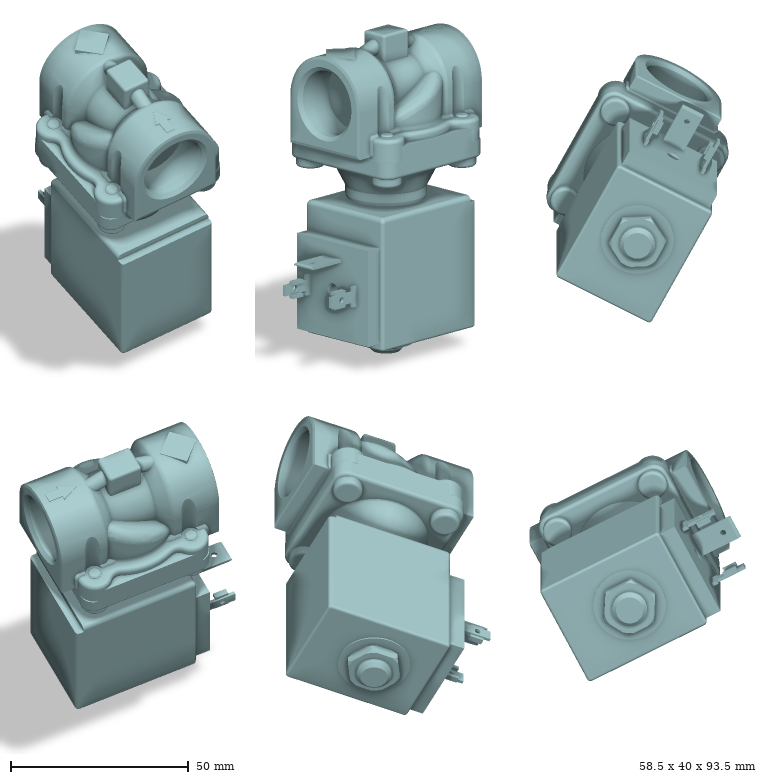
import cadquery as cq
import math


COIL_BOTTOM = 5.6
COIL_TOP = 44.3
COIL_X_MIN = -16.9
COIL_X_MAX = 20.8
COIL_WIDTH = 30.3
COIL_SIDE_FILLET = 1.0
COIL_TOP_FILLET = 1.4
COIL_BOTTOM_FILLET = 0.75
NOTCH_LENGTH = 2.2
NOTCH_DEPTH = 2.0
WASHER_RADIUS = 10.2
WASHER_THICKNESS = 0.4

BLOCK_LENGTH = 4.6
BLOCK_WIDTH = 28.0
BLOCK_BOTTOM = 7.8
BLOCK_HEIGHT = 28.0
CONNECTOR_Z = BLOCK_BOTTOM + BLOCK_HEIGHT / 2
TERMINAL_THICKNESS = 0.9
TERMINAL_HOLE_RADIUS = 0.8
EARTH_TIP_X = -33.6
EARTH_WIDTH = 6.7
EARTH_Z = 30.9
EARTH_HOLE_X = -29.6
EARTH_TIP_LENGTH = 0.9
EARTH_TIP_THICKNESS = 0.4
CONTACT_TIP_X = -31.7
CONTACT_OUTER_Y = 9.5
CONTACT_WIDTH = 3.1
CONTACT_HOLE_X = -27.7
CONTACT_ROOT_LENGTH = 1.7
CONTACT_ROOT_WIDTH = 6.0
LIP_LENGTH = 4.0
LIP_SPAN = 5.0
LIP_THICKNESS = 0.9
LIP_DEPTH = 2.15
LIP_SETBACK = 0.5
SCREW_HOLE_RADIUS = 1.4
SCREW_HOLE_MOUTH_RADIUS = 2.0
SCREW_HOLE_DEPTH = 4.6

STEM_RADIUS = 5.0
STEM_CHAMFER = 1.1
NUT_BOTTOM = 2.2
NUT_TOP = COIL_BOTTOM - WASHER_THICKNESS
NUT_FLATS = 14.0
NUT_CORNERS = NUT_FLATS / math.cos(math.pi / 6)
NUT_CHAMFER = 0.75
STEM_SHOULDER_RADIUS = 6.45
COLLAR_BOTTOM = 45.1
COLLAR_TOP = 48.5
COLLAR_RADIUS = 11.5
COLLAR_CHAMFER_RADIAL = 0.3
COLLAR_CHAMFER_HEIGHT = 0.9
CONE_TOP_RADIUS = 15.2
CONE_TOP = 55.7
PLATE_BOTTOM = 56.6
JOINT_Z = 61.6
PLATE_SIZE = 39.8
PLATE_CORNER = 3.9
PLATE_EDGE_FILLET = 1.1

SCREW_OFFSET = 15.1
SCREW_POINTS = [(x, y) for x in (-SCREW_OFFSET, SCREW_OFFSET) for y in (-SCREW_OFFSET, SCREW_OFFSET)]
SCREW_RADIUS = 1.9
SCREW_TIP_Z = 68.8
SCREW_TIP_CHAMFER = 0.4
HEAD_RADIUS = 4.1
HEAD_HEIGHT = 2.6
HEAD_FILLET = 0.9

TOP_Z = 93.5
PORT_Z = 76.6
PORT_RADIUS = 13.65
PORT_END_X = 24.9
PORT_INNER_X = 10.6
PORT_BOTTOM = 62.8
PORT_END_BEVEL_DEPTH = 0.3
PORT_END_BEVEL_LENGTH = 0.8
SHOULDER_BLEND = 1.7
SELECTION_MARGIN = 0.1
NECK_RADIUS = 9.8
NECK_HALF_LENGTH = 6.5
BORE_RADIUS = 9.5
BORE_MOUTH_RADIUS = 10.7
BORE_DEPTH = 11.2
FLANGE_SIZE = 40.0
EAR_RADIUS = FLANGE_SIZE / 2 - SCREW_OFFSET
LEDGE_Z = 65.8
EAR_TOP = 68.3
EAR_FILLET = 1.2
EAR_BLEND = 2.8
RING_RADIUS = 19.1
PAD_LENGTH = 41.5
PAD_WIDTH = 29.2
PAD_TOP = 69.3
PAD_BOTTOM = 62.1
PAD_FILLET = 1.7
CHAMBER_RADIUS = 16.0
CHAMBER_CENTRE_Z = 77.6
CHAMBER_SLOPE = 27.0
CHAMBER_FILLET = 2.8
CHAMBER_FOOT_FILLET = 1.1
CLEARANCE_RADIUS = 2.7
BOSS_LENGTH = 10.1
BOSS_WIDTH = 8.2
BOSS_FILLET = 0.8
RIB_RADIUS = 2.2
RIB_PEAK_Z = 90.9
RIB_END_X = 11.2
RIB_END_Z = 87.3
MARK_TOP = 90.4
ARROW_TIP_X = 13.5
ARROW_HEAD_X = 18.4
ARROW_TAIL_X = 22.5
ARROW_HEAD_HALF = 2.4
ARROW_SHAFT_HALF = 1.3
DIAMOND_X = -18.4
DIAMOND_HALF = 5.7


def box(x_min, x_max, y_min, y_max, z_min, z_max):
    return cq.Workplane("XY").box(
        x_max - x_min, y_max - y_min, z_max - z_min, centered=False
    ).translate((x_min, y_min, z_min))


def disc(radius, z_min, z_max, x=0, y=0):
    return cq.Workplane("XY", origin=(x, y, z_min)).circle(radius).extrude(z_max - z_min)



def coil_housing():
    half = COIL_WIDTH / 2
    housing = box(COIL_X_MIN, COIL_X_MAX, -half, half, COIL_BOTTOM, COIL_TOP)
    notch_x = COIL_X_MAX - NOTCH_LENGTH
    notch_z = COIL_TOP - NOTCH_DEPTH
    housing = housing.edges("|Z").fillet(COIL_SIDE_FILLET)
    housing = housing.faces("<Z").edges().fillet(COIL_BOTTOM_FILLET)
    housing = housing.faces(">Z").edges().fillet(COIL_TOP_FILLET)
    notch = box(notch_x, COIL_X_MAX, -half, half, notch_z, COIL_TOP)
    housing = housing.cut(notch)
    return housing.union(disc(WASHER_RADIUS, NUT_TOP, COIL_BOTTOM))


def earth_terminal(root_x):
    half_tip = EARTH_TIP_THICKNESS / 2
    half_thickness = TERMINAL_THICKNESS / 2
    bevel_x = EARTH_TIP_X + EARTH_TIP_LENGTH
    blade = cq.Workplane("XZ", origin=(0, EARTH_WIDTH / 2, EARTH_Z)).polyline([
        (EARTH_TIP_X, -half_tip),
        (bevel_x, -half_thickness),
        (root_x, -half_thickness),
        (root_x, half_thickness),
        (bevel_x, half_thickness),
        (EARTH_TIP_X, half_tip),
    ]).close().extrude(EARTH_WIDTH)
    hole = disc(TERMINAL_HOLE_RADIUS, EARTH_Z - TERMINAL_THICKNESS, EARTH_Z + TERMINAL_THICKNESS, EARTH_HOLE_X)
    return blade.cut(hole)


def contact_terminal(root_x):
    inner_y = CONTACT_OUTER_Y - TERMINAL_THICKNESS
    half = CONTACT_WIDTH / 2
    root_half = CONTACT_ROOT_WIDTH / 2
    blade = box(CONTACT_TIP_X, root_x, inner_y, CONTACT_OUTER_Y, CONNECTOR_Z - half, CONNECTOR_Z + half)
    root = box(
        root_x - CONTACT_ROOT_LENGTH, root_x, inner_y, CONTACT_OUTER_Y,
        CONNECTOR_Z - root_half, CONNECTOR_Z + root_half,
    )
    lip_min_x = CONTACT_HOLE_X - LIP_LENGTH / 2
    lip_max_x = CONTACT_HOLE_X + LIP_LENGTH / 2
    lip_inner_y = CONTACT_OUTER_Y - LIP_DEPTH
    lip_half = LIP_SPAN / 2
    lips = box(
        lip_min_x, lip_max_x, lip_inner_y, CONTACT_OUTER_Y - LIP_SETBACK,
        CONNECTOR_Z - lip_half, CONNECTOR_Z + lip_half,
    )
    channel_half = lip_half - LIP_THICKNESS
    channel = box(
        lip_min_x, lip_max_x, lip_inner_y, inner_y, CONNECTOR_Z - channel_half, CONNECTOR_Z + channel_half
    )
    hole = cq.Workplane("XZ", origin=(CONTACT_HOLE_X, CONTACT_OUTER_Y, CONNECTOR_Z))
    hole = hole.circle(TERMINAL_HOLE_RADIUS).extrude(TERMINAL_THICKNESS)
    return blade.union(root).union(lips.cut(channel)).cut(hole)


def connector_screw_hole(face_x):
    rim = SCREW_HOLE_MOUTH_RADIUS - SCREW_HOLE_RADIUS
    profile = cq.Workplane("XZ", origin=(face_x, 0, CONNECTOR_Z)).polyline([
        (0, 0),
        (0, SCREW_HOLE_MOUTH_RADIUS),
        (rim, SCREW_HOLE_RADIUS),
        (SCREW_HOLE_DEPTH, SCREW_HOLE_RADIUS),
        (SCREW_HOLE_DEPTH, 0),
    ])
    return profile.close().revolve(360, (0, 0, 0), (1, 0, 0))


def make_coil():
    face_x = COIL_X_MIN - BLOCK_LENGTH
    half = BLOCK_WIDTH / 2
    block = box(face_x, COIL_X_MIN, -half, half, BLOCK_BOTTOM, BLOCK_BOTTOM + BLOCK_HEIGHT)
    contact = contact_terminal(face_x)
    coil = coil_housing().union(block).cut(connector_screw_hole(face_x))
    coil = coil.union(earth_terminal(face_x)).union(contact).union(contact.mirror("XZ"))
    return coil.cut(disc(STEM_RADIUS, 0, COIL_TOP))



def make_nut():
    hexagon = cq.Workplane("XY", origin=(0, 0, NUT_BOTTOM)).polygon(6, NUT_CORNERS)
    nut = hexagon.extrude(NUT_TOP - NUT_BOTTOM)
    envelope = disc(NUT_CORNERS / 2, NUT_BOTTOM, NUT_TOP).faces("<Z or >Z").edges().chamfer(NUT_CHAMFER)
    return nut.intersect(envelope).cut(disc(STEM_RADIUS, NUT_BOTTOM, NUT_TOP))



def make_bonnet():
    plate = cq.Workplane("XY", origin=(0, 0, PLATE_BOTTOM)).rect(PLATE_SIZE, PLATE_SIZE)
    plate = plate.extrude(JOINT_Z - PLATE_BOTTOM).edges("|Z").fillet(PLATE_CORNER)
    plate = plate.faces("<Z").edges().fillet(PLATE_EDGE_FILLET)
    stem = cq.Workplane("XZ").polyline([
        (0, 0),
        (STEM_RADIUS - STEM_CHAMFER, 0),
        (STEM_RADIUS, STEM_CHAMFER),
        (STEM_RADIUS, COIL_TOP),
        (STEM_SHOULDER_RADIUS, COIL_TOP),
        (STEM_SHOULDER_RADIUS, COLLAR_BOTTOM),
        (COLLAR_RADIUS - COLLAR_CHAMFER_RADIAL, COLLAR_BOTTOM),
        (COLLAR_RADIUS, COLLAR_BOTTOM + COLLAR_CHAMFER_HEIGHT),
        (COLLAR_RADIUS, COLLAR_TOP),
        (CONE_TOP_RADIUS, CONE_TOP),
        (CONE_TOP_RADIUS, JOINT_Z),
        (0, JOINT_Z),
    ]).close().revolve(360, (0, 0, 0), (0, 1, 0))
    bonnet = plate.union(stem)
    for x, y in SCREW_POINTS:
        bonnet = bonnet.cut(make_screw(x, y))
    return bonnet



def make_screw(x, y):
    head = disc(HEAD_RADIUS, PLATE_BOTTOM - HEAD_HEIGHT, PLATE_BOTTOM, x, y)
    head = head.faces("<Z").edges().fillet(HEAD_FILLET)
    shank = disc(SCREW_RADIUS, PLATE_BOTTOM, SCREW_TIP_Z, x, y)
    shank = shank.faces(">Z").edges().chamfer(SCREW_TIP_CHAMFER)
    return head.union(shank)



def arch_section(plane, radius):
    """Round-topped outline across the port axis, with straight sides down to the port bottom."""
    drop = PORT_BOTTOM - PORT_Z
    return (
        plane.moveTo(-radius, drop)
        .lineTo(-radius, 0)
        .threePointArc((0, radius), (radius, 0))
        .lineTo(radius, drop)
        .close()
    )


def ports_and_neck():
    def section(x):
        return cq.Workplane("YZ", origin=(x, 0, PORT_Z))

    body = arch_section(section(-PORT_INNER_X), NECK_RADIUS).extrude(2 * PORT_INNER_X)
    port = arch_section(section(PORT_INNER_X), PORT_RADIUS).extrude(PORT_END_X - PORT_INNER_X)
    shoulder = arch_section(section(NECK_HALF_LENGTH), NECK_RADIUS)
    shoulder = shoulder.workplane(offset=PORT_INNER_X - NECK_HALF_LENGTH)
    shoulder = arch_section(shoulder, PORT_RADIUS).loft(ruled=True)
    half = port.union(shoulder)
    rounded_edges = cq.selectors.BoxSelector(
        (PORT_INNER_X - SELECTION_MARGIN, -PORT_RADIUS, PORT_BOTTOM + SELECTION_MARGIN),
        (PORT_INNER_X + SELECTION_MARGIN, PORT_RADIUS, TOP_Z),
    )
    half = half.edges(rounded_edges).fillet(SHOULDER_BLEND)
    half = half.faces(">X").chamfer(PORT_END_BEVEL_DEPTH, PORT_END_BEVEL_LENGTH)
    return body.union(half).union(half.mirror("YZ"))


def chamber():
    """Round chamber closed by a sloping roof with a rounded rim and a hollow-rounded foot."""
    rise = CHAMBER_RADIUS * math.tan(math.radians(CHAMBER_SLOPE))
    solid = disc(CHAMBER_RADIUS, JOINT_Z, TOP_Z)
    above = cq.Workplane("XZ", origin=(0, CHAMBER_RADIUS, 0)).polyline([
        (-CHAMBER_RADIUS, CHAMBER_CENTRE_Z - rise),
        (CHAMBER_RADIUS, CHAMBER_CENTRE_Z + rise),
        (CHAMBER_RADIUS, TOP_Z),
        (-CHAMBER_RADIUS, TOP_Z),
    ]).close().extrude(2 * CHAMBER_RADIUS)
    solid = solid.cut(above)
    solid = solid.faces(">Z").edges().fillet(CHAMBER_FILLET)
    foot_top = EAR_TOP + CHAMBER_FOOT_FILLET
    foot_radius = CHAMBER_RADIUS + CHAMBER_FOOT_FILLET
    sag = CHAMBER_FOOT_FILLET * (1 - math.sqrt(0.5))
    foot = (
        cq.Workplane("XZ")
        .moveTo(0, LEDGE_Z)
        .lineTo(foot_radius, LEDGE_Z)
        .lineTo(foot_radius, EAR_TOP)
        .threePointArc((CHAMBER_RADIUS + sag, EAR_TOP + sag), (CHAMBER_RADIUS, foot_top))
        .lineTo(0, foot_top)
        .close()
        .revolve(360, (0, 0, 0), (0, 1, 0))
    )
    return solid.union(foot)


def raised_outline():
    """Four round ears joined by straight sides across X and by ring arcs across Y."""
    half = FLANGE_SIZE / 2
    ear = SCREW_OFFSET
    ear_distance = ear * math.sqrt(2)
    along = (RING_RADIUS ** 2 - EAR_RADIUS ** 2 + ear_distance ** 2) / (2 * ear_distance)
    valley_angle = math.pi / 4 + math.acos(along / RING_RADIUS)
    valley_x = RING_RADIUS * math.cos(valley_angle)
    valley_y = RING_RADIUS * math.sin(valley_angle)
    return (
        cq.Workplane("XY", origin=(0, 0, JOINT_Z))
        .moveTo(half, -ear)
        .lineTo(half, ear)
        .threePointArc((ear, half), (valley_x, valley_y))
        .threePointArc((0, RING_RADIUS), (-valley_x, valley_y))
        .threePointArc((-ear, half), (-half, ear))
        .lineTo(-half, -ear)
        .threePointArc((-ear, -half), (-valley_x, -valley_y))
        .threePointArc((0, -RING_RADIUS), (valley_x, -valley_y))
        .threePointArc((ear, -half), (half, -ear))
        .close()
    )


def flange():
    half_ledge = PLATE_SIZE / 2
    ledge = box(-SCREW_OFFSET, SCREW_OFFSET, -half_ledge, half_ledge, JOINT_Z, LEDGE_Z)
    raised = raised_outline().extrude(EAR_TOP - JOINT_Z)
    middle = cq.selectors.BoxSelector(
        (-PORT_RADIUS, -FLANGE_SIZE, JOINT_Z), (PORT_RADIUS, FLANGE_SIZE, EAR_TOP)
    )
    raised = raised.edges(middle).edges("|Z").fillet(EAR_BLEND)
    raised = raised.faces(">Z").edges().fillet(EAR_FILLET)
    half_length = PAD_LENGTH / 2
    half_width = PAD_WIDTH / 2
    pad = box(-half_length, half_length, -half_width, half_width, PAD_BOTTOM, PAD_TOP)
    pad = pad.edges("|X or |Y").fillet(PAD_FILLET)
    return ledge.union(raised).union(pad)


def boss_and_ribs():
    half_length = BOSS_LENGTH / 2
    half_width = BOSS_WIDTH / 2
    boss = box(-half_length, half_length, -half_width, half_width, PORT_Z, TOP_Z)
    boss = boss.edges("|Z or >Z").fillet(BOSS_FILLET)
    for end_x in (-RIB_END_X, RIB_END_X):
        direction = cq.Vector(end_x, 0, RIB_END_Z - RIB_PEAK_Z)
        rib = cq.Solid.makeCylinder(RIB_RADIUS, direction.Length, cq.Vector(0, 0, RIB_PEAK_Z), direction)
        boss = boss.union(cq.Workplane(rib))
    return boss


def flow_marks():
    """Raised flow arrow on one port and a plain raised diamond on the other."""
    base = cq.Workplane("XY", origin=(0, 0, PORT_Z + BORE_MOUTH_RADIUS))
    height = MARK_TOP - PORT_Z - BORE_MOUTH_RADIUS
    arrow = base.polyline([
        (ARROW_TIP_X, 0),
        (ARROW_HEAD_X, ARROW_HEAD_HALF),
        (ARROW_HEAD_X, ARROW_SHAFT_HALF),
        (ARROW_TAIL_X, ARROW_SHAFT_HALF),
        (ARROW_TAIL_X, -ARROW_SHAFT_HALF),
        (ARROW_HEAD_X, -ARROW_SHAFT_HALF),
        (ARROW_HEAD_X, -ARROW_HEAD_HALF),
    ]).close().extrude(height)
    diamond = base.polyline([
        (DIAMOND_X - DIAMOND_HALF, 0),
        (DIAMOND_X, DIAMOND_HALF),
        (DIAMOND_X + DIAMOND_HALF, 0),
        (DIAMOND_X, -DIAMOND_HALF),
    ]).close().extrude(height)
    return arrow.union(diamond)


def port_bore():
    bevel = BORE_MOUTH_RADIUS - BORE_RADIUS
    profile = cq.Workplane("XZ", origin=(0, 0, PORT_Z)).polyline([
        (PORT_END_X, 0),
        (PORT_END_X, BORE_MOUTH_RADIUS),
        (PORT_END_X - bevel, BORE_RADIUS),
        (PORT_END_X - BORE_DEPTH, BORE_RADIUS),
        (PORT_END_X - BORE_DEPTH, 0),
    ])
    return profile.close().revolve(360, (0, 0, 0), (1, 0, 0))


def make_valve_body():
    body = ports_and_neck()
    base = flange()
    for x, y in SCREW_POINTS:
        clearance = disc(CLEARANCE_RADIUS, EAR_TOP, TOP_Z, x, y)
        body = body.cut(clearance)
        base = base.cut(clearance)
    body = body.union(chamber()).union(base).union(boss_and_ribs()).union(flow_marks())
    bore = port_bore()
    body = body.cut(bore).cut(bore.mirror("YZ"))
    for x, y in SCREW_POINTS:
        body = body.cut(make_screw(x, y))
    return body


valve_body = make_valve_body()
bonnet = make_bonnet()
coil = make_coil()
nut = make_nut()
screws = [make_screw(x, y) for x, y in SCREW_POINTS]

result = cq.Compound.makeCompound([
    valve_body.val(),
    bonnet.val(),
    coil.val(),
    nut.val(),
    *[screw.val() for screw in screws],
])